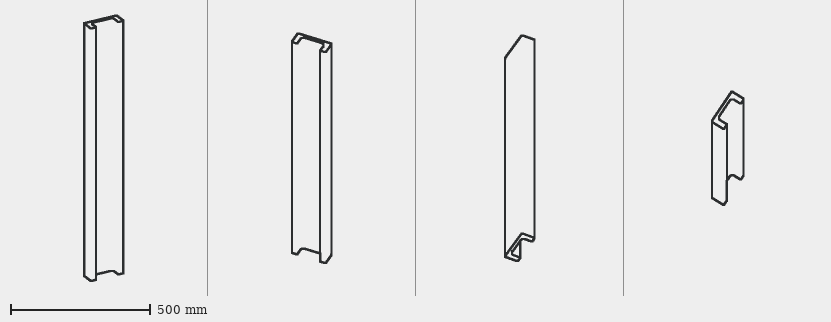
import cadquery as cq

length = 1000.0
depth = 53.0
width = 135.0
web_thickness = 13.0
flange_thickness = 22.0
root_radius = 12.0
outer_edge_radius = 4.0
inner_tip_radius = 2.0

cavity_depth = depth - web_thickness
cavity_width = width - 2 * flange_thickness

bar = cq.Workplane("XY").box(depth, width, length).edges("|Z").fillet(outer_edge_radius)

cavity = (
    cq.Workplane("XY")
    .box(cavity_depth, cavity_width, length)
    .edges("|Z and <X")
    .fillet(root_radius)
    .translate((web_thickness / 2, 0, 0))
)
channel = bar.cut(cavity)

for side in (-1, 1):
    tip_corner = (depth / 2, side * cavity_width / 2, 0)
    channel = channel.edges(cq.selectors.NearestToPointSelector(tip_corner)).fillet(inner_tip_radius)

result = channel